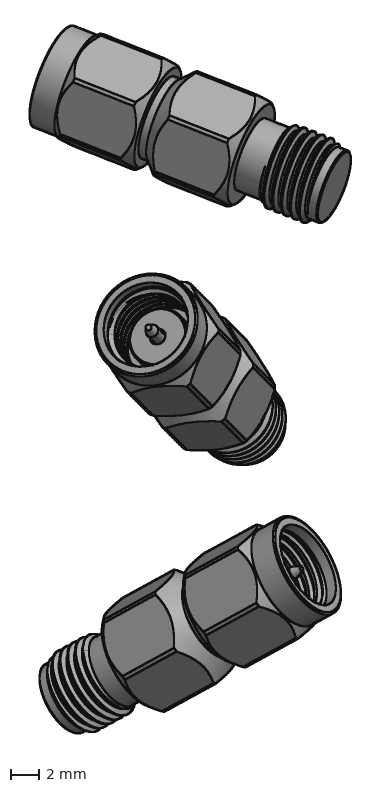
import cadquery as cq
import math


total_length = 22.35
across_flats = 7.93
corner_radius = 8.98 / 2

nose_length = 2.05
nose_radius = 3.9
nose_chamfer_axial = 0.1
nose_chamfer_radial = 0.15
nut_end = 8.35
nut_front_chamfer = 0.74
hex_rear_chamfer = 0.74
hex_rear_radius = 3.82

neck_radius = 3.15
body_start = 8.96
body_end = 15.75

barrel_radius = 2.77
barrel_chamfer = 0.1
thread_start = 17.77
thread_end = 21.6
thread_radius = 3.17
outer_thread_phase = 18.66

pitch = 2.82 / 4
crest_width = 0.1
flank_angle = 30.0
thread_overlap = 0.05
thread_clearance = 0.07

counterbore_depth = 0.85
counterbore_radius = 3.17
groove_root_radius = 3.15
bore_radius = 2.8
cavity_depth = 4.47
inner_thread_phase = 1.55
boss_front = 2.57
boss_radius = 2.17
boss_chamfer = 0.1
pin_radius = 0.47
pin_tip = 0.6
pin_tip_radius = 0.22
pin_taper_end = 1.35
pin_clearance_radius = 0.58
pin_clearance_depth = 0.45


def turned(points):
    """Solid turned about the X axis from (x, radius) points, closed along the axis."""
    first_x = points[0][0]
    last_x = points[-1][0]
    outline = [(first_x, 0), *points, (last_x, 0)]
    return cq.Workplane("XY").polyline(outline).close().revolve(360, (0, 0, 0), (1, 0, 0))


def cylinder(start, end, radius):
    return turned([(start, radius), (end, radius)])


def hexagon(start, end, envelope):
    """Hexagonal bar with flats facing +Z and -Z, trimmed by a turned envelope."""
    across_corners = across_flats / math.cos(math.pi / 6)
    bar = cq.Workplane("YZ", origin=(start, 0, 0)).polygon(6, across_corners).extrude(end - start)
    return bar.intersect(turned(envelope))


def helical_ridge(start, end, phase, base_radius, crest_radius):
    """Right-hand ridge along X whose crest crosses the +Y side at X = phase."""
    turns_before = math.ceil((phase - start) / pitch) + 1
    first_crest = phase - turns_before * pitch
    turns = math.ceil((end - first_crest) / pitch) + 1

    root_radius = base_radius - thread_overlap
    half_crest = crest_width / 2
    half_root = half_crest + (crest_radius - base_radius) * math.tan(math.radians(flank_angle))
    section = [
        (first_crest - half_root, root_radius),
        (first_crest - half_crest, crest_radius),
        (first_crest + half_crest, crest_radius),
        (first_crest + half_root, root_radius),
    ]
    helix = cq.Wire.makeHelix(
        pitch, turns * pitch, base_radius, cq.Vector(first_crest, 0, 0), cq.Vector(1, 0, 0)
    )
    return cq.Workplane("XY").polyline(section).close().sweep(cq.Workplane(helix), isFrenet=True)


def coupling_nut():
    nose = turned([
        (0, nose_radius - nose_chamfer_radial),
        (nose_chamfer_axial, nose_radius),
        (nose_length, nose_radius),
    ])
    nut_hexagon = hexagon(nose_length, nut_end, [
        (nose_length, nose_radius),
        (nose_length + nut_front_chamfer, corner_radius),
        (nut_end - hex_rear_chamfer, corner_radius),
        (nut_end, hex_rear_radius),
    ])
    return nose.union(nut_hexagon)


def nut_cavity():
    """Counterbored, chamfered bore with its internal thread."""
    bore_chamfer = counterbore_radius - bore_radius
    bore = turned([
        (0, counterbore_radius),
        (counterbore_depth, counterbore_radius),
        (counterbore_depth + bore_chamfer, bore_radius),
        (cavity_depth, bore_radius),
    ])
    groove = helical_ridge(
        counterbore_depth, cavity_depth, inner_thread_phase, bore_radius, groove_root_radius
    )
    limits = cylinder(counterbore_depth, cavity_depth, nose_radius)
    return bore.union(groove.intersect(limits))


def boss_and_pin():
    boss = turned([
        (boss_front, boss_radius - boss_chamfer),
        (boss_front + boss_chamfer, boss_radius),
        (cavity_depth, boss_radius),
    ])
    clearance = cylinder(boss_front, boss_front + pin_clearance_depth, pin_clearance_radius)
    pin = turned([
        (pin_tip, pin_tip_radius),
        (pin_taper_end, pin_radius),
        (cavity_depth, pin_radius),
    ])
    return boss.cut(clearance).union(pin)


def hexagonal_body():
    cone_length = corner_radius - neck_radius
    return hexagon(body_start, body_end, [
        (body_start, neck_radius),
        (body_start + cone_length, corner_radius),
        (body_end - hex_rear_chamfer, corner_radius),
        (body_end, hex_rear_radius),
    ])


def threaded_barrel():
    barrel = turned([
        (body_end, barrel_radius),
        (total_length - barrel_chamfer, barrel_radius),
        (total_length, barrel_radius - barrel_chamfer),
    ])
    ridge = helical_ridge(thread_start, thread_end, outer_thread_phase, barrel_radius, thread_radius)
    taper_length = thread_radius + thread_clearance - barrel_radius
    limits = turned([
        (thread_start, barrel_radius),
        (thread_start + taper_length, thread_radius + thread_clearance),
        (thread_end - taper_length, thread_radius + thread_clearance),
        (thread_end, barrel_radius),
    ])
    return barrel.union(ridge.intersect(limits))


neck = cylinder(nut_end, body_start, neck_radius)
result = (
    coupling_nut()
    .union(neck)
    .union(hexagonal_body())
    .union(threaded_barrel())
    .cut(nut_cavity())
    .union(boss_and_pin())
)